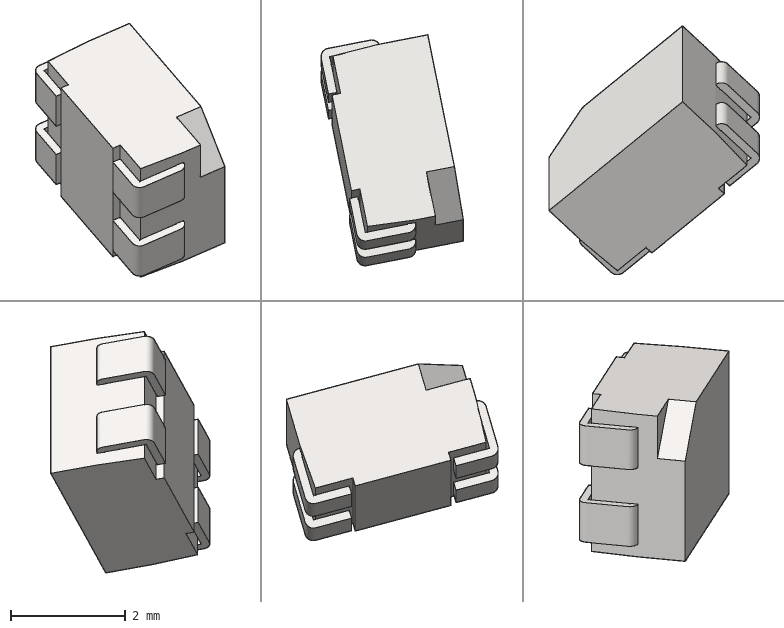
import cadquery as cq

overall_width = 3.5
overall_depth = 1.9
body_height = 2.7

strip_thickness = 0.15
lead_height = 0.75
lead_depth = 1.05
foot_length = 0.8
lead_end_margin = 0.25
stem_embed = 0.14

body_width = overall_width - 2 * strip_thickness
foot_clearance = 0.05
side_taper = 0.05
pedestal_width = 1.74
pedestal_rise = 0.15

bevel_size = 0.8
bevel_length = 0.5

back_y = overall_depth
body_front_y = strip_thickness + foot_clearance
pedestal_front_y = body_front_y - pedestal_rise
half_width = body_width / 2
half_height = body_height / 2


def make_body():
    """Prism along Z: straight back, tapered sides and a raised pedestal on the -Y face."""
    front_half_width = half_width - side_taper
    half_pedestal = pedestal_width / 2
    outline = [
        (-half_width, back_y),
        (half_width, back_y),
        (half_width, lead_depth),
        (front_half_width, body_front_y),
        (half_pedestal, body_front_y),
        (half_pedestal, pedestal_front_y),
        (-half_pedestal, pedestal_front_y),
        (-half_pedestal, body_front_y),
        (-front_half_width, body_front_y),
        (-half_width, lead_depth),
    ]
    return cq.Workplane("XY", origin=(0, 0, -half_height)).polyline(outline).close().extrude(body_height)


def make_corner_bevel():
    """Wedge removed from the +X, +Y, +Z corner: a 45 degree bevel of the top edge, stopped along Y."""
    outline = [
        (half_width - bevel_size, half_height),
        (half_width, half_height),
        (half_width, half_height - bevel_size),
    ]
    return cq.Workplane("XZ", origin=(0, back_y, 0)).polyline(outline).close().extrude(bevel_length)


def make_lead(bottom_z):
    """Lead on the +X side: stem set into the body, upright leg and inward foot."""
    outer_x = overall_width / 2
    inner_x = outer_x - strip_thickness
    stem_x = inner_x - stem_embed
    foot_x = outer_x - foot_length
    outline = [
        (stem_x, lead_depth),
        (outer_x, lead_depth),
        (outer_x, 0),
        (foot_x, 0),
        (foot_x, strip_thickness),
        (inner_x, strip_thickness),
        (inner_x, lead_depth - strip_thickness),
        (stem_x, lead_depth - strip_thickness),
    ]
    strip = cq.Workplane("XY", origin=(0, 0, bottom_z)).polyline(outline).close().extrude(lead_height)
    return strip.edges("|Z").edges(">X").fillet(strip_thickness)


result = make_body().cut(make_corner_bevel())

lower_lead_z = -half_height + lead_end_margin
upper_lead_z = half_height - lead_end_margin - lead_height
for bottom_z in (lower_lead_z, upper_lead_z):
    lead = make_lead(bottom_z)
    result = result.union(lead).union(lead.mirror("YZ"))